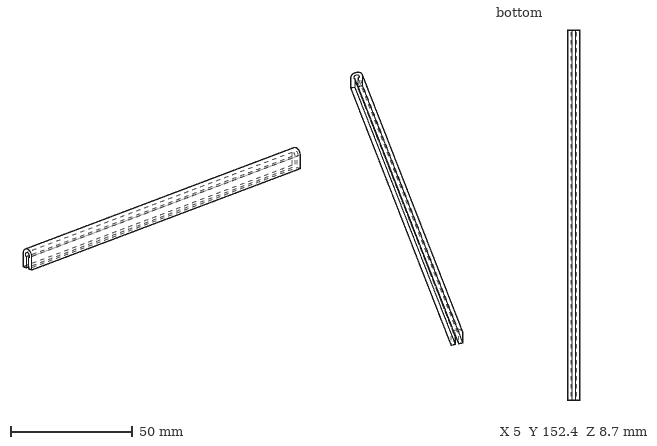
import cadquery as cq

length = 152.4
width = 5.0
height = 8.7

bore_diameter = 2.3
bore_drop = 0.23
slot_width = 1.4

crown_radius = width / 2
crown_center_z = height - crown_radius
bore_center_z = crown_center_z - bore_drop


def extrude_along_y(section):
    """Extrude an XZ section symmetrically about the XZ plane."""
    return section.extrude(length / 2, both=True)


def make_body():
    """Solid bar with a flat bottom and a round crown."""
    section = (
        cq.Workplane("XZ")
        .moveTo(-width / 2, 0)
        .lineTo(width / 2, 0)
        .lineTo(width / 2, crown_center_z)
        .threePointArc((0, height), (-width / 2, crown_center_z))
        .close()
    )
    return extrude_along_y(section)


def make_bore():
    """Round channel under the crown."""
    section = cq.Workplane("XZ").center(0, bore_center_z).circle(bore_diameter / 2)
    return extrude_along_y(section)


def make_slot():
    """Narrow slot that opens the bore through the bottom."""
    section = cq.Workplane("XZ").center(0, bore_center_z / 2).rect(slot_width, bore_center_z)
    return extrude_along_y(section)


result = make_body().cut(make_bore()).cut(make_slot())